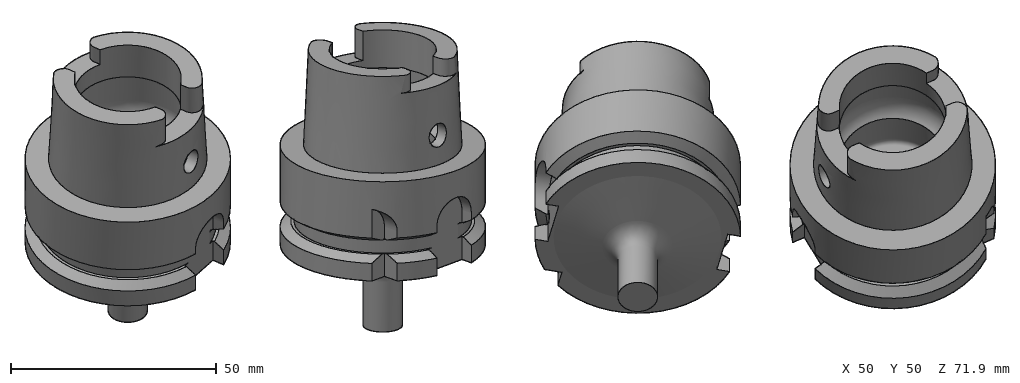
import cadquery as cq
import math

total_height = 71.9
blend_start_z = 13.15
flange_bottom_z = 21.15
groove_rim_low_z = 25.75
groove_low_z = 27.2
groove_high_z = 30.85
groove_rim_high_z = 32.35
flange_top_z = 47.1

flange_radius = 50.0 / 2
groove_radius = 43.15 / 2
groove_lip_radius = 22.35
taper_base_radius = 38.55 / 2
taper_top_radius = 36.25 / 2
shank_radius = 9.6 / 2
blend_radius = 4.95
hub_slope = math.radians(15)

bore_radius = 26.0 / 2
undercut_radius = 32.1 / 2
pocket_corner_radius = 1.15
pocket_floor_z = 37.4
bore_end_z = 62.05
undercut_z = 52.2
shoulder_radius = 5.0

cross_hole_diameter = 6.0
cross_hole_z = 54.65

notch_half_width = 5.3
key_end_x = 16.1
key_corner_radius = 2.5
key_flank_angle = math.radians(20)
key_flank_length = 3.6
left_notch_floor_z = 67.4
right_notch_floor_z = 64.3

slot_radius = 6.0
slot_top_z = 40.05
slot_floor_x = 21.1
side_slot_edge_y = 15.25
side_slot_floor_x = 15.45

clearance = 28.75


def turned_body():
    """Shank, conical hub, grooved flange and taper, revolved about Z."""
    blend_center_r = shank_radius + blend_radius

    def blend_point(angle):
        return (
            blend_center_r - blend_radius * math.cos(angle),
            blend_start_z + blend_radius * math.sin(angle),
        )

    blend_sweep = math.pi / 2 - hub_slope
    blend_mid = blend_point(blend_sweep / 2)
    blend_end = blend_point(blend_sweep)
    hub_radius = blend_end[0] + (flange_bottom_z - blend_end[1]) / math.tan(hub_slope)
    return (
        cq.Workplane("XZ")
        .moveTo(0, 0)
        .lineTo(shank_radius, 0)
        .lineTo(shank_radius, blend_start_z)
        .threePointArc(blend_mid, blend_end)
        .lineTo(hub_radius, flange_bottom_z)
        .lineTo(flange_radius, flange_bottom_z)
        .lineTo(flange_radius, groove_rim_low_z)
        .lineTo(groove_lip_radius, groove_low_z)
        .lineTo(groove_radius, groove_low_z)
        .lineTo(groove_radius, groove_high_z)
        .lineTo(groove_lip_radius, groove_high_z)
        .lineTo(flange_radius, groove_rim_high_z)
        .lineTo(flange_radius, flange_top_z)
        .lineTo(taper_base_radius, flange_top_z)
        .lineTo(taper_top_radius, total_height)
        .lineTo(0, total_height)
        .close()
        .revolve(360, (0, 0, 0), (0, 1, 0))
    )


def bore():
    """Bore with an undercut that curves back in to a deeper, round-cornered pocket."""
    neck_angle = math.acos(1 - (undercut_radius - bore_radius) / shoulder_radius)

    def shoulder_point(angle):
        return (
            undercut_radius - shoulder_radius * (1 - math.cos(angle)),
            undercut_z - shoulder_radius * math.sin(angle),
        )

    corner_inset = pocket_corner_radius * (1 - math.sin(math.pi / 4))
    return (
        cq.Workplane("XZ")
        .moveTo(0, pocket_floor_z)
        .lineTo(bore_radius - pocket_corner_radius, pocket_floor_z)
        .threePointArc(
            (bore_radius - corner_inset, pocket_floor_z + corner_inset),
            (bore_radius, pocket_floor_z + pocket_corner_radius),
        )
        .lineTo(*shoulder_point(neck_angle))
        .threePointArc(shoulder_point(neck_angle / 2), (undercut_radius, undercut_z))
        .lineTo(undercut_radius, bore_end_z)
        .lineTo(bore_radius, bore_end_z)
        .lineTo(bore_radius, total_height)
        .lineTo(0, total_height)
        .close()
        .revolve(360, (0, 0, 0), (0, 1, 0))
    )


def drive_notch(side, floor_z):
    """Notch on the +X (side=1) or -X (side=-1) wall, leaving rounded key ends."""
    corner_x = key_end_x - key_corner_radius
    corner_y = notch_half_width + key_corner_radius

    def corner_point(angle):
        return (
            corner_x + key_corner_radius * math.cos(angle),
            corner_y + key_corner_radius * math.sin(angle),
        )

    arc_mid = corner_point((key_flank_angle - math.pi / 2) / 2)
    arc_end = corner_point(key_flank_angle)
    flank_end = (
        arc_end[0] - key_flank_length * math.sin(key_flank_angle),
        arc_end[1] + key_flank_length * math.cos(key_flank_angle),
    )
    half_notch = (
        cq.Workplane("XY", origin=(0, 0, floor_z))
        .lineTo(0, notch_half_width)
        .lineTo(corner_x, notch_half_width)
        .threePointArc(arc_mid, arc_end)
        .lineTo(*flank_end)
        .lineTo(clearance, flank_end[1])
        .lineTo(clearance, 0)
        .close()
        .extrude(total_height - floor_z)
    )
    notch = half_notch.union(half_notch.mirror("XZ"))
    return notch if side > 0 else notch.mirror("YZ")


def flange_slot(side, center_y, floor_x):
    """Round-topped slot, open at the flange bottom, with a flat floor at floor_x."""
    arc_center_z = slot_top_z - slot_radius
    return (
        cq.Workplane("YZ", origin=(side * floor_x, 0, 0))
        .moveTo(center_y - slot_radius, flange_bottom_z)
        .lineTo(center_y - slot_radius, arc_center_z)
        .threePointArc((center_y, slot_top_z), (center_y + slot_radius, arc_center_z))
        .lineTo(center_y + slot_radius, flange_bottom_z)
        .close()
        .extrude(side * clearance)
    )


cross_hole = (
    cq.Workplane("YZ")
    .center(0, cross_hole_z)
    .circle(cross_hole_diameter / 2)
    .extrude(clearance, both=True)
)

result = turned_body().cut(bore()).cut(cross_hole)
for side, notch_floor_z in ((-1, left_notch_floor_z), (1, right_notch_floor_z)):
    result = result.cut(drive_notch(side, notch_floor_z))
    result = result.cut(flange_slot(side, 0, slot_floor_x))
result = result.cut(flange_slot(-1, side_slot_edge_y + slot_radius, side_slot_floor_x))